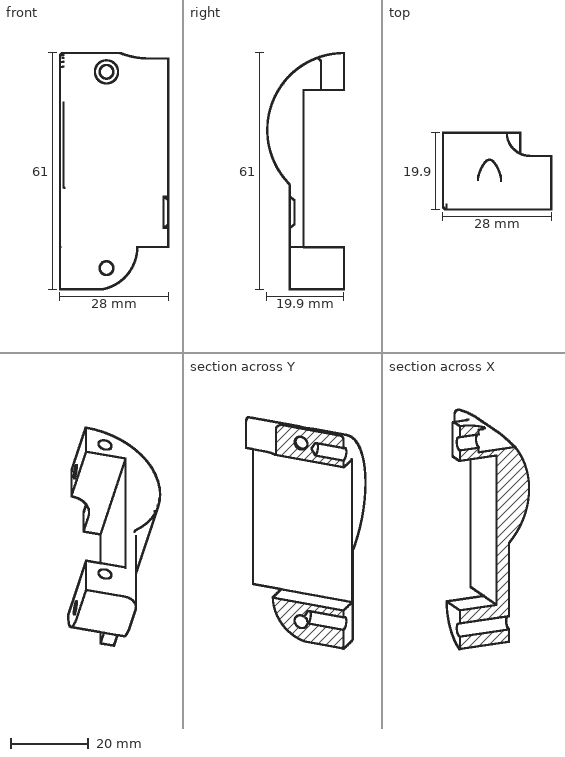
import cadquery as cq

LENGTH = 28.0
HEIGHT = 61.0
BARREL_RADIUS = 19.9
BARREL_Z = HEIGHT - BARREL_RADIUS
END_ROUND = 1.0

INNER_Y = -10.5
PLATE_FRONT_Y = -14.1
PLATE_EDGE_ROUND = 4.0
JUNCTION_ROUND = 0.8

BLOCK_HEIGHT = 10.9
CORNER_TOP_X = 20.0
CORNER_MIDDLE = (17.15, 3.5)
CORNER_BOTTOM_X = 11.0

ARM_BOTTOM_Z = 51.45
CUTOUT_X = 16.5
CUTOUT_RADIUS = 6.0
CUTOUT_RIM_ROUND = 1.1

SCREW_X = 12.0
SCREW_DIAMETER = 3.5
UPPER_SCREW_Z = 56.15
LOWER_SCREW_Z = 5.5
COUNTERBORE_DIAMETER = 6.0
COUNTERBORE_FLOOR_Y = -5.5
COUNTERBORE_RIM_ROUND = 0.35

SIDE_HOLE_DIAMETER = 3.4
SIDE_HOLE_Y = -5.0
UPPER_SIDE_HOLE_Z = 55.15
LOWER_SIDE_HOLE_Z = 7.15
UPPER_SIDE_HOLE_DEPTH = 8.0
LOWER_SIDE_HOLE_DEPTH = 10.0
DRILL_TIP_LENGTH = 1.05

NOTCH_WIDTH = 1.2
NOTCH_BOTTOM_Z = 15.8
NOTCH_TOP_Z = 24.0
NOTCH_DEPTH = 1.2
NOTCH_BEVEL = 1.0

EDGE_SEARCH_MARGIN = 12.2

EDGE_TOLERANCE = 0.05
EDGE_CLEARANCE = 0.6
RIM_SEARCH_DEPTH = 1.85


def box(x_range, y_range, z_range):
    """Axis-aligned box between the given limits."""
    (x0, x1), (y0, y1), (z0, z1) = x_range, y_range, z_range
    return cq.Workplane("XY").box(x1 - x0, y1 - y0, z1 - z0, centered=False).translate((x0, y0, z0))


def make_barrel():
    """Solid barrel front plus the arm that reaches back to y = 0 at the top."""
    barrel = cq.Workplane("YZ").center(0, BARREL_Z).circle(BARREL_RADIUS).extrude(LENGTH)
    barrel = barrel.faces("<X").edges().fillet(END_ROUND)
    front = box((0, LENGTH), (-BARREL_RADIUS, INNER_Y), (0, HEIGHT))
    arm = box((0, LENGTH), (-BARREL_RADIUS, 0), (ARM_BOTTOM_Z, HEIGHT))
    return barrel.intersect(front.union(arm))


def make_base():
    """Plate and lower block with the left front edge and right lower corner rounded."""
    base = box((0, LENGTH), (PLATE_FRONT_Y, INNER_Y), (0, BARREL_Z))
    base = base.union(box((0, LENGTH), (PLATE_FRONT_Y, 0), (0, BLOCK_HEIGHT)))
    base = base.edges("|Z and <X and <Y").fillet(PLATE_EDGE_ROUND)
    corner = (
        cq.Workplane("XZ")
        .moveTo(CORNER_TOP_X, BLOCK_HEIGHT)
        .threePointArc(CORNER_MIDDLE, (CORNER_BOTTOM_X, 0))
        .lineTo(LENGTH, 0)
        .lineTo(LENGTH, BLOCK_HEIGHT)
        .close()
        .extrude(-PLATE_FRONT_Y)
    )
    return base.cut(corner)


def cut_arm(body):
    """Remove the back right of the arm and round the rim left on the barrel."""
    cutter = (
        cq.Workplane("XY", origin=(0, 0, ARM_BOTTOM_Z))
        .moveTo(CUTOUT_X, 0)
        .radiusArc((CUTOUT_X + CUTOUT_RADIUS, -CUTOUT_RADIUS), -CUTOUT_RADIUS)
        .lineTo(LENGTH, -CUTOUT_RADIUS)
        .lineTo(LENGTH, 0)
        .close()
        .extrude(HEIGHT - ARM_BOTTOM_Z)
    )
    body = body.cut(cutter)
    rim_zone = cq.selectors.BoxSelector(
        (CUTOUT_X - EDGE_CLEARANCE, -CUTOUT_RADIUS - EDGE_CLEARANCE, HEIGHT - RIM_SEARCH_DEPTH),
        (LENGTH - EDGE_CLEARANCE, -EDGE_CLEARANCE, HEIGHT),
    )
    return body.edges(rim_zone).fillet(CUTOUT_RIM_ROUND)


def cylinder_y(diameter, z, back_y):
    """Cylinder at the screw position running forward from back_y past the front."""
    return (
        cq.Workplane("XZ", origin=(SCREW_X, back_y, z))
        .circle(diameter / 2)
        .extrude(BARREL_RADIUS + back_y)
    )


def drill_side(z, depth):
    """Blind hole with a conical tip, drilled from the left end."""
    radius = SIDE_HOLE_DIAMETER / 2
    profile = [(0, 0), (0, radius), (depth, radius), (depth + DRILL_TIP_LENGTH, 0)]
    drill = cq.Workplane("XY").polyline(profile).close().revolve(360, (0, 0, 0), (1, 0, 0))
    return drill.translate((0, SIDE_HOLE_Y, z))


def make_notch():
    """Notch whose floor slopes back toward the right, with both ends bevelled."""
    notch_floor_y = PLATE_FRONT_Y + NOTCH_DEPTH
    wedge = (
        cq.Workplane("XY", origin=(0, 0, NOTCH_BOTTOM_Z))
        .polyline([(LENGTH - NOTCH_WIDTH, PLATE_FRONT_Y), (LENGTH, PLATE_FRONT_Y), (LENGTH, notch_floor_y)])
        .close()
        .extrude(NOTCH_TOP_Z - NOTCH_BOTTOM_Z)
    )
    bevelled_ends = (
        cq.Workplane("YZ")
        .moveTo(PLATE_FRONT_Y, NOTCH_BOTTOM_Z)
        .lineTo(notch_floor_y, NOTCH_BOTTOM_Z + NOTCH_BEVEL)
        .lineTo(notch_floor_y, NOTCH_TOP_Z - NOTCH_BEVEL)
        .lineTo(PLATE_FRONT_Y, NOTCH_TOP_Z)
        .close()
        .extrude(LENGTH)
    )
    return wedge.intersect(bevelled_ends)


body = cut_arm(make_barrel()).union(make_base())

body = body.edges(
    cq.selectors.BoxSelector(
        (PLATE_EDGE_ROUND, PLATE_FRONT_Y - EDGE_TOLERANCE, BLOCK_HEIGHT + EDGE_SEARCH_MARGIN),
        (LENGTH - EDGE_CLEARANCE, PLATE_FRONT_Y + EDGE_TOLERANCE, BARREL_Z - EDGE_SEARCH_MARGIN),
    )
).fillet(JUNCTION_ROUND)

body = body.cut(cylinder_y(COUNTERBORE_DIAMETER, UPPER_SCREW_Z, COUNTERBORE_FLOOR_Y))
counterbore_reach = COUNTERBORE_DIAMETER / 2 + EDGE_TOLERANCE
rim_box = cq.selectors.BoxSelector(
    (SCREW_X - counterbore_reach, -BARREL_RADIUS, UPPER_SCREW_Z - counterbore_reach),
    (SCREW_X + counterbore_reach, COUNTERBORE_FLOOR_Y - EDGE_TOLERANCE, UPPER_SCREW_Z + counterbore_reach),
    boundingbox=True,
)
body = body.edges(rim_box).edges("not |Y").fillet(COUNTERBORE_RIM_ROUND)

for screw_z in (UPPER_SCREW_Z, LOWER_SCREW_Z):
    body = body.cut(cylinder_y(SCREW_DIAMETER, screw_z, 0))

body = body.cut(drill_side(UPPER_SIDE_HOLE_Z, UPPER_SIDE_HOLE_DEPTH))
body = body.cut(drill_side(LOWER_SIDE_HOLE_Z, LOWER_SIDE_HOLE_DEPTH))
result = body.cut(make_notch())